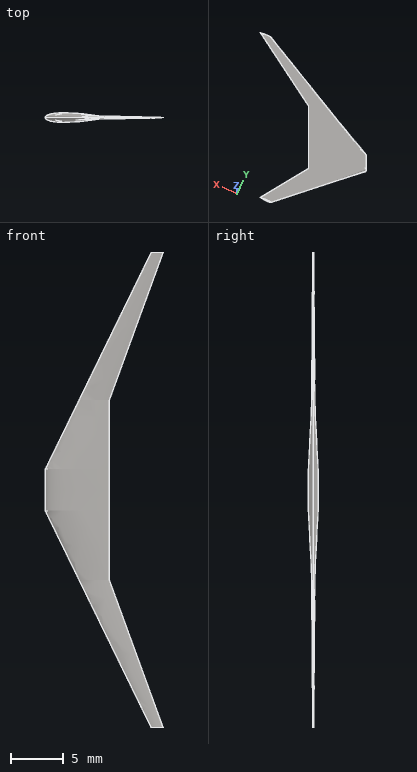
import cadquery as cq
import math

CENTRE_HALF_SPAN = 1.97
JOINT_SPAN = 8.5
TIP_SPAN = 22.44

ROOT_CHORD = 6.07
TIP_CHORD = 1.15
TIP_TRAILING_X = 11.15

ROOT_THICKNESS = 0.95
ROOT_THICKNESS_RATIO = ROOT_THICKNESS / ROOT_CHORD
OUTER_THICKNESS_RATIO = 0.12
SURFACE_INTERVALS = 12

NACA_SCALE = 5.0
NACA_ROOT_TERM = 0.2969
NACA_POLYNOMIAL = (-0.1260, -0.3516, 0.2843, -0.1015)

LEADING_SLOPE = (TIP_TRAILING_X - TIP_CHORD) / (TIP_SPAN - CENTRE_HALF_SPAN)
JOINT_LEADING_X = LEADING_SLOPE * (JOINT_SPAN - CENTRE_HALF_SPAN)
JOINT_CHORD = ROOT_CHORD - JOINT_LEADING_X


def half_thickness(fraction, thickness_ratio):
    """Half thickness of a unit-chord airfoil at a fraction of the chord."""
    total = NACA_ROOT_TERM * math.sqrt(fraction)
    for power, coefficient in enumerate(NACA_POLYNOMIAL, start=1):
        total += coefficient * fraction**power
    return NACA_SCALE * thickness_ratio * total


def airfoil(leading_x, chord, span, thickness_ratio):
    """Closed wire at height `span`: two curves meeting at the nose and a thin trailing flat."""
    fractions = [
        (1 - math.cos(math.pi * step / SURFACE_INTERVALS)) / 2
        for step in range(SURFACE_INTERVALS + 1)
    ]
    surfaces = []
    for side in (1, -1):
        points = [
            cq.Vector(leading_x + chord * f, side * chord * half_thickness(f, thickness_ratio), span)
            for f in fractions
        ]
        tangents = [cq.Vector(0, side, 0)] + [None] * SURFACE_INTERVALS
        surfaces.append(cq.Edge.makeSpline(points, tangents=tangents))
    trailing_flat = cq.Edge.makeLine(surfaces[0].endPoint(), surfaces[1].endPoint())
    return cq.Wire.assembleEdges([surfaces[0], trailing_flat, surfaces[1]])


def wing_panel(inner_section, outer_section):
    """Straight-sided panel between two airfoil sections."""
    return cq.Workplane(cq.Solid.makeLoft([inner_section, outer_section], True))


def half_wing():
    """Centre, inboard and outboard panels on the +Z side."""
    sections = [
        airfoil(0, ROOT_CHORD, 0, ROOT_THICKNESS_RATIO),
        airfoil(0, ROOT_CHORD, CENTRE_HALF_SPAN, ROOT_THICKNESS_RATIO),
        airfoil(JOINT_LEADING_X, JOINT_CHORD, JOINT_SPAN, OUTER_THICKNESS_RATIO),
        airfoil(TIP_TRAILING_X - TIP_CHORD, TIP_CHORD, TIP_SPAN, OUTER_THICKNESS_RATIO),
    ]
    wing = wing_panel(sections[0], sections[1])
    for inner, outer in zip(sections[1:], sections[2:]):
        wing = wing.union(wing_panel(inner, outer))
    return wing


upper_half = half_wing()
result = upper_half.union(upper_half.mirror("XY"))